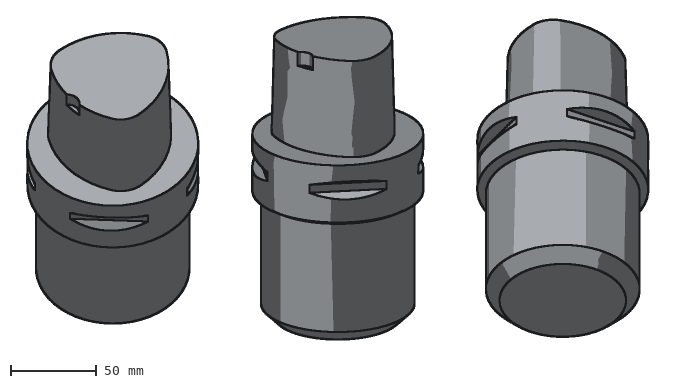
import cadquery as cq
import math

TOTAL_HEIGHT = 175.0
SHANK_HEIGHT = 60.0
FLANGE_HEIGHT = 36.0
FLANGE_TOP = TOTAL_HEIGHT - SHANK_HEIGHT
FLANGE_BOTTOM = FLANGE_TOP - FLANGE_HEIGHT

FLANGE_RADIUS = 50.0
BODY_RADIUS = 45.0
BODY_CHAMFER = 8.0
FLANGE_BEVEL_ANGLE = 30.0

SHANK_WIDTH = 72.0
ARC_CENTER_OFFSET = 21.4
TAPER_RATIO = 1 / 20
LOBE_RADIUS = (SHANK_WIDTH - math.sqrt(3) * ARC_CENTER_OFFSET) / 2
FLANK_RADIUS = SHANK_WIDTH - LOBE_RADIUS
LOBE_DISTANCE = ARC_CENTER_OFFSET + LOBE_RADIUS
FLANK_DISTANCE = FLANK_RADIUS - ARC_CENTER_OFFSET
FIRST_LOBE_ANGLE = 90.0
LOBE_COUNT = 3
LOBE_PITCH = 360.0 / LOBE_COUNT
LOBE_HALF_SPAN = 30.0

GROOVE_COUNT = 4
FIRST_GROOVE_ANGLE = 45.0
GROOVE_CENTER_Z = FLANGE_TOP - 15.9
GROOVE_DEPTH = 5.5
GROOVE_FLOOR_WIDTH = 5.0
GROOVE_FLANK_ANGLE = 30.0

NOTCH_RADIUS = 7.3
NOTCH_INNER_Y = -28.8
NOTCH_HEIGHT = 8.5


def polar(radius, angle):
    """Point at a radius and an angle in degrees."""
    return (radius * math.cos(math.radians(angle)), radius * math.sin(math.radians(angle)))


def lobe_end(lobe_angle, side):
    """Tangent point of a lobe arc and its neighboring flank arc."""
    center = polar(ARC_CENTER_OFFSET, lobe_angle)
    reach = polar(LOBE_RADIUS, lobe_angle + side * LOBE_HALF_SPAN)
    return (center[0] + reach[0], center[1] + reach[1])


def make_turned_body():
    bevel_height = (FLANGE_RADIUS - BODY_RADIUS) * math.tan(math.radians(FLANGE_BEVEL_ANGLE))
    profile = [
        (0, 0),
        (BODY_RADIUS - BODY_CHAMFER, 0),
        (BODY_RADIUS, BODY_CHAMFER),
        (BODY_RADIUS, FLANGE_BOTTOM - bevel_height),
        (FLANGE_RADIUS, FLANGE_BOTTOM),
        (FLANGE_RADIUS, FLANGE_TOP),
        (0, FLANGE_TOP),
    ]
    return cq.Workplane("XZ").polyline(profile).close().revolve(360, (0, 0), (0, 1))


def make_shank():
    outline = cq.Workplane("XY").workplane(offset=FLANGE_TOP)
    outline = outline.moveTo(*lobe_end(FIRST_LOBE_ANGLE, -1))
    for index in range(LOBE_COUNT):
        lobe_angle = FIRST_LOBE_ANGLE + index * LOBE_PITCH
        lobe_tip = polar(LOBE_DISTANCE, lobe_angle)
        flank_middle = polar(FLANK_DISTANCE, lobe_angle + LOBE_PITCH / 2)
        outline = outline.threePointArc(lobe_tip, lobe_end(lobe_angle, 1))
        outline = outline.threePointArc(flank_middle, lobe_end(lobe_angle + LOBE_PITCH, -1))
    taper_angle = math.degrees(math.atan(TAPER_RATIO / 2))
    return outline.close().extrude(SHANK_HEIGHT, taper=taper_angle)


def make_groove_cutter(angle):
    """Straight trapezoidal bar, narrow at the groove floor, facing the given direction."""
    floor_x = FLANGE_RADIUS - GROOVE_DEPTH
    half_floor = GROOVE_FLOOR_WIDTH / 2
    half_mouth = half_floor + GROOVE_DEPTH * math.tan(math.radians(GROOVE_FLANK_ANGLE))
    section = [
        (floor_x, GROOVE_CENTER_Z - half_floor),
        (FLANGE_RADIUS, GROOVE_CENTER_Z - half_mouth),
        (FLANGE_RADIUS, GROOVE_CENTER_Z + half_mouth),
        (floor_x, GROOVE_CENTER_Z + half_floor),
    ]
    bar = cq.Workplane("XZ").polyline(section).close().extrude(FLANGE_RADIUS, both=True)
    return bar.rotate((0, 0, 0), (0, 0, 1), angle)


def make_notch_cutter():
    return (
        cq.Workplane("XY")
        .workplane(offset=TOTAL_HEIGHT - NOTCH_HEIGHT)
        .center(0, NOTCH_INNER_Y - NOTCH_RADIUS)
        .circle(NOTCH_RADIUS)
        .extrude(NOTCH_HEIGHT)
    )


result = make_turned_body().union(make_shank())
for groove_index in range(GROOVE_COUNT):
    groove_angle = FIRST_GROOVE_ANGLE + groove_index * 360.0 / GROOVE_COUNT
    result = result.cut(make_groove_cutter(groove_angle))
result = result.cut(make_notch_cutter())